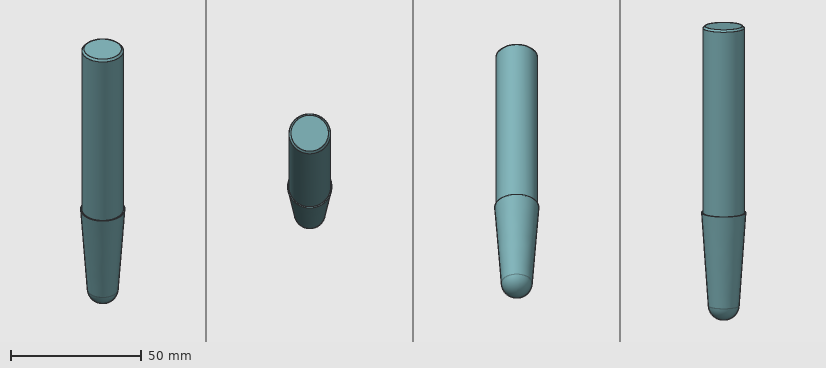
import cadquery as cq
import math

total_length = 115.0
head_length = 42.0
head_top_diameter = 17.0
shank_diameter = 16.0
tip_radius = 6.0
taper_half_angle = math.radians(4)
chamfer_size = 0.8

tangent_radius = tip_radius * math.cos(taper_half_angle)
tangent_height = tip_radius * (1 - math.sin(taper_half_angle))


def make_head():
    """Tapered head with a ball tip, its lowest point at the origin."""
    arc_middle_angle = (math.pi / 2 - taper_half_angle) / 2
    arc_middle = (
        tip_radius * math.sin(arc_middle_angle),
        tip_radius * (1 - math.cos(arc_middle_angle)),
    )
    return (
        cq.Workplane("XZ")
        .moveTo(0, 0)
        .threePointArc(arc_middle, (tangent_radius, tangent_height))
        .lineTo(head_top_diameter / 2, head_length)
        .lineTo(0, head_length)
        .close()
        .revolve(360, (0, 0), (0, 1))
    )


def make_shank():
    """Round shank standing on the head, chamfered at its free end."""
    return (
        cq.Workplane("XY")
        .workplane(offset=head_length)
        .circle(shank_diameter / 2)
        .extrude(total_length - head_length)
        .faces(">Z")
        .chamfer(chamfer_size)
    )


head = make_head()
shank = make_shank()

result = cq.Compound.makeCompound([head.val(), shank.val()])